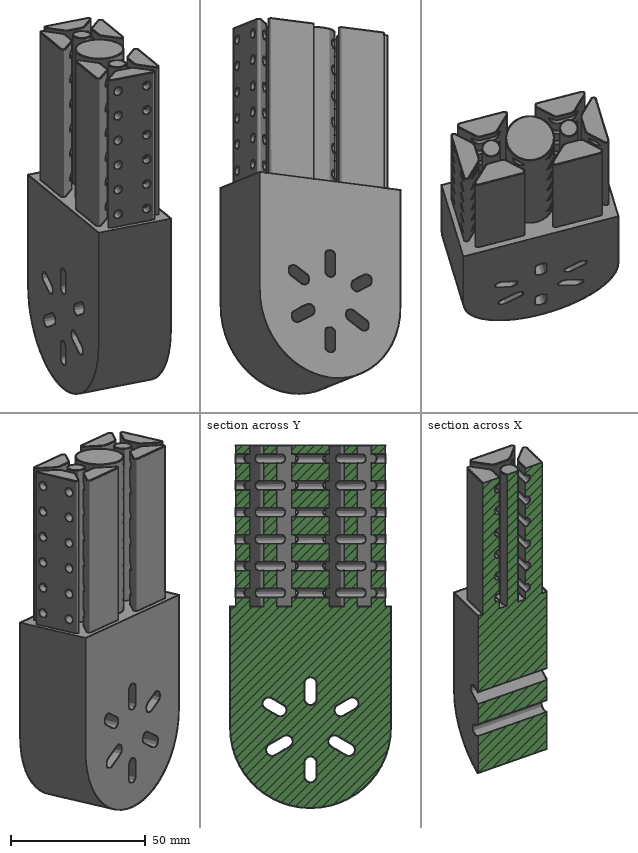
import cadquery as cq
import math

base_width = 60.0
base_depth = 30.0
base_radius = base_width / 2
total_height = 135.0
base_height = 75.0
column_height = total_height - base_height

slot_width = 4.5
slots = [
    (90, 10.7, 16.5),
    (30, 13.0, 18.0),
    (150, 13.0, 18.0),
    (210, 10.3, 16.5),
    (330, 10.3, 16.5),
    (270, 13.0, 18.1),
]

center_column_diameter = 18.0
pin_diameter = 6.8
pin_offset = base_width / 4
bar_inner = 5.5
bar_outer = 13.0
bar_diagonal_gap = 2.0
bar_outer_fillet = 1.0
bar_inner_fillet = 3.0

top_chamfer = 0.2

hole_diameter = 3.4
hole_count = 6
hole_pitch = column_height / hole_count
hole_offset = 6.0


def make_base():
    """Upright slab ending in a half cylinder at the bottom."""
    return (
        cq.Workplane("XZ", origin=(0, base_depth / 2, 0))
        .moveTo(-base_radius, base_height)
        .lineTo(-base_radius, base_radius)
        .threePointArc((0, 0), (base_radius, base_radius))
        .lineTo(base_radius, base_height)
        .close()
        .extrude(base_depth)
    )


def make_slot(angle, inner, outer):
    """Cutter for one slot through the base along Y."""
    middle = (inner + outer) / 2
    x = middle * math.cos(math.radians(angle))
    z = base_radius + middle * math.sin(math.radians(angle))
    return (
        cq.Workplane("XZ", origin=(0, base_depth / 2, 0))
        .center(x, z)
        .slot2D(outer - inner + slot_width, slot_width, angle)
        .extrude(base_depth)
    )


def make_column(x, diameter):
    """Round column standing on the base."""
    return (
        cq.Workplane("XY", origin=(x, 0, base_height))
        .circle(diameter / 2)
        .extrude(column_height)
        .faces(">Z")
        .chamfer(top_chamfer)
    )


def make_bar(pin_x, angle):
    """Trapezoidal bar beside a pin, turned about the pin axis from the +X side."""
    inner_half = bar_inner - bar_diagonal_gap
    outer_half = bar_outer - bar_diagonal_gap
    return (
        cq.Workplane("XY")
        .polyline([
            (bar_inner, -inner_half),
            (bar_outer, -outer_half),
            (bar_outer, outer_half),
            (bar_inner, inner_half),
        ])
        .close()
        .extrude(column_height)
        .edges("|Z and >X")
        .fillet(bar_outer_fillet)
        .edges("|Z and <X")
        .fillet(bar_inner_fillet)
        .faces(">Z")
        .chamfer(top_chamfer)
        .rotate((0, 0, 0), (0, 0, 1), angle)
        .translate((pin_x, 0, base_height))
    )


def make_hole(y, z):
    """Cutter for one cross hole along the full width in X."""
    return (
        cq.Workplane("YZ", origin=(-base_width / 2, y, z))
        .circle(hole_diameter / 2)
        .extrude(base_width)
    )


result = make_base()
for angle, inner, outer in slots:
    result = result.cut(make_slot(angle, inner, outer))

result = result.union(make_column(0, center_column_diameter))
for pin_x, outward_angle in [(-pin_offset, 180), (pin_offset, 0)]:
    result = result.union(make_column(pin_x, pin_diameter))
    for angle in [90, 270, outward_angle]:
        result = result.union(make_bar(pin_x, angle))

for row in range(hole_count):
    z = base_height + (row + 0.5) * hole_pitch
    for y in [-hole_offset, hole_offset]:
        result = result.cut(make_hole(y, z))